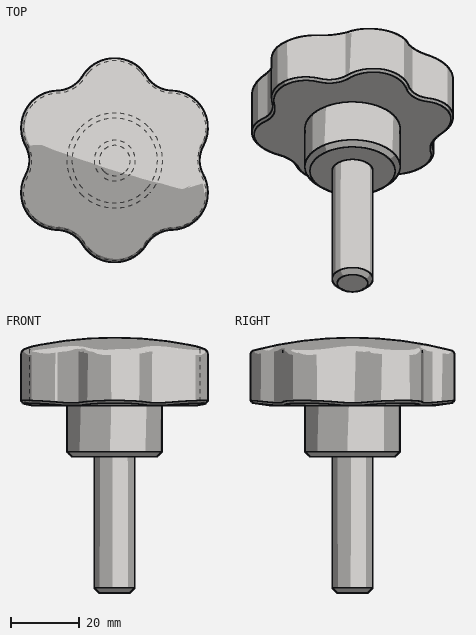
import cadquery as cq
import math

head_height = 20.0
hub_height = 15.0
stud_length = 40.0

lobe_count = 6
lobe_radius = 11.0
lobe_center_radius = 19.0
valley_radius = 9.0
head_radius = lobe_center_radius + lobe_radius

dome_drop = 4.0
underside_flat_radius = 24.0
underside_rise = 0.85
top_fillet = 1.5
bottom_chamfer = 0.7

rim_allowance = 1.0

hub_diameter = 28.0
hub_chamfer = 1.5
stud_diameter = 12.0
stud_chamfer = 1.5

head_bottom = hub_height
head_top = head_bottom + head_height


def polar(radius, angle):
    """Point at a radius and an angle in radians from +X."""
    return (radius * math.cos(angle), radius * math.sin(angle))


def sphere_drop(sphere_radius, axis_distance):
    """How far a sphere has fallen below its crown at a distance from the axis."""
    return sphere_radius - math.sqrt(sphere_radius**2 - axis_distance**2)


def lobed_prism():
    """Six round lobes joined by tangent concave valleys, one lobe on +Y."""
    half_pitch = math.pi / lobe_count
    lobe_offset = lobe_center_radius * math.sin(half_pitch)
    center_distance = lobe_radius + valley_radius
    valley_center_radius = (
        lobe_center_radius * math.cos(half_pitch)
        + math.sqrt(center_distance**2 - lobe_offset**2)
    )
    valley_floor_radius = valley_center_radius - valley_radius

    share = lobe_radius / center_distance
    valley_along = valley_center_radius * math.cos(half_pitch)
    valley_across = valley_center_radius * math.sin(half_pitch)
    tangent_along = lobe_center_radius + share * (valley_along - lobe_center_radius)
    tangent_across = share * valley_across
    tangent_radius = math.hypot(tangent_along, tangent_across)
    tangent_angle = math.atan2(tangent_across, tangent_along)

    first_lobe = math.pi / 2
    outline = cq.Workplane("XY").workplane(offset=head_bottom)
    outline = outline.moveTo(*polar(tangent_radius, first_lobe - tangent_angle))
    for index in range(lobe_count):
        lobe = first_lobe + index * 2 * half_pitch
        next_lobe = lobe + 2 * half_pitch
        outline = outline.threePointArc(
            polar(head_radius, lobe), polar(tangent_radius, lobe + tangent_angle)
        )
        outline = outline.threePointArc(
            polar(valley_floor_radius, lobe + half_pitch),
            polar(tangent_radius, next_lobe - tangent_angle),
        )
    return outline.close().extrude(head_height)


def head_envelope():
    """Turned body with a spherical top and an underside that is flat, then conical."""
    dome_radius = (head_radius**2 + dome_drop**2) / (2 * dome_drop)
    rim_radius = head_radius + rim_allowance
    rim_drop = sphere_drop(dome_radius, rim_radius)
    underside_slope = underside_rise / (head_radius - underside_flat_radius)
    rim_rise = underside_slope * (rim_radius - underside_flat_radius)
    middle_radius = rim_radius / 2
    middle_drop = sphere_drop(dome_radius, middle_radius)
    return (
        cq.Workplane("XZ")
        .moveTo(0, head_bottom)
        .lineTo(underside_flat_radius, head_bottom)
        .lineTo(rim_radius, head_bottom + rim_rise)
        .lineTo(rim_radius, head_top - rim_drop)
        .threePointArc((middle_radius, head_top - middle_drop), (0, head_top))
        .close()
        .revolve(360, (0, 0, 0), (0, 1, 0))
    )


def make_head():
    head = lobed_prism().intersect(head_envelope())
    head = head.faces(">Z").edges().fillet(top_fillet)
    return head.faces("%CONE").edges("not <Z").chamfer(bottom_chamfer)


def make_hub():
    hub = cq.Workplane("XY").circle(hub_diameter / 2).extrude(head_bottom)
    return hub.faces("<Z").chamfer(hub_chamfer)


def make_stud():
    stud = cq.Workplane("XY").circle(stud_diameter / 2).extrude(-stud_length)
    return stud.faces("<Z").chamfer(stud_chamfer)


result = make_head().union(make_hub()).union(make_stud())